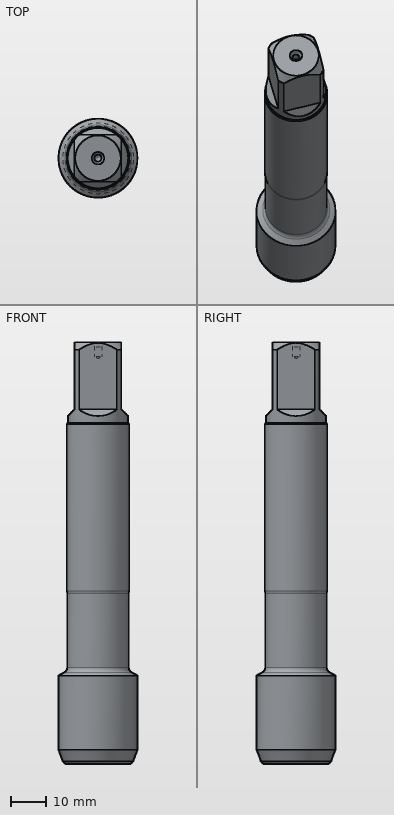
import cadquery as cq
import math

total_length = 119.1

head_diameter = 22.35
head_length = 25.0
lead_diameter = 20.0
lead_length = 4.1
tip_diameter = 18.3
tip_chamfer_length = 0.9

shoulder_slope = 30.0
neck_fillet_radius = 1.5

neck_diameter = 17.4
shank_diameter = 17.7
shank_start = 48.3
shank_step_length = 0.7
shank_end = 96.3
shank_end_chamfer = 0.35
drive_diameter = 17.0

flat_count = 4
square_width = 13.28
square_length = 19.0
drive_top_diameter = 12.8
runout_angle = 45.0

centre_hole_diameter = 2.0
countersink_diameter = 3.5
countersink_angle = 60.0
centre_hole_depth = 4.0
drill_point_angle = 120.0


def revolve_about_z(profile):
    """Turn a closed half-profile in the XZ plane into a solid of revolution."""
    return profile.revolve(360, (0, 0, 0), (0, 1, 0))


def make_head():
    """Cutting head envelope with a tapered lead and a small chamfer at the tip."""
    head_radius = head_diameter / 2
    profile = (
        cq.Workplane("XZ")
        .lineTo(tip_diameter / 2, 0)
        .lineTo(lead_diameter / 2, tip_chamfer_length)
        .lineTo(head_radius, lead_length)
        .lineTo(head_radius, head_length)
        .lineTo(0, head_length)
        .close()
    )
    return revolve_about_z(profile)


def make_shank_blank():
    """Turned shank: shoulder cone, fillet into the neck, shank and round drive end."""
    head_radius = head_diameter / 2
    neck_radius = neck_diameter / 2
    slope = math.radians(shoulder_slope)
    fillet_center_x = neck_radius + neck_fillet_radius
    cone_end_x = fillet_center_x - neck_fillet_radius * math.sin(slope)
    cone_end_z = head_length + (head_radius - cone_end_x) * math.tan(slope)
    fillet_top_z = cone_end_z + neck_fillet_radius * math.cos(slope)
    mid_angle = (math.pi / 2 - slope) / 2
    fillet_mid = (
        fillet_center_x - neck_fillet_radius * math.cos(mid_angle),
        fillet_top_z - neck_fillet_radius * math.sin(mid_angle),
    )
    shank_radius = shank_diameter / 2
    drive_radius = drive_diameter / 2
    drive_top_radius = drive_top_diameter / 2
    drive_chamfer = drive_radius - drive_top_radius
    profile = (
        cq.Workplane("XZ")
        .moveTo(0, head_length)
        .lineTo(head_radius, head_length)
        .lineTo(cone_end_x, cone_end_z)
        .threePointArc(fillet_mid, (neck_radius, fillet_top_z))
        .lineTo(neck_radius, shank_start)
        .lineTo(shank_radius, shank_start + shank_step_length)
        .lineTo(shank_radius, shank_end - shank_end_chamfer)
        .lineTo(drive_radius, shank_end)
        .lineTo(drive_radius, total_length - drive_chamfer)
        .lineTo(drive_top_radius, total_length)
        .lineTo(0, total_length)
        .close()
    )
    return revolve_about_z(profile)


def make_flat_cutter():
    """Material beyond one flat of the square, with a sloping run-out at its foot."""
    flat = square_width / 2
    outside = shank_diameter / 2
    flat_bottom = total_length - square_length
    runout_drop = (outside - flat) * math.tan(math.radians(runout_angle))
    return (
        cq.Workplane("XZ")
        .moveTo(flat, flat_bottom)
        .lineTo(outside, flat_bottom - runout_drop)
        .lineTo(outside, total_length)
        .lineTo(flat, total_length)
        .close()
        .extrude(outside, both=True)
    )


def make_centre_hole():
    """Countersunk centre hole with a conical drill point, as a solid to cut away."""
    hole_radius = centre_hole_diameter / 2
    countersink_radius = countersink_diameter / 2
    countersink_depth = (countersink_radius - hole_radius) / math.tan(math.radians(countersink_angle / 2))
    point_length = hole_radius / math.tan(math.radians(drill_point_angle / 2))
    drill_bottom = total_length - centre_hole_depth
    profile = (
        cq.Workplane("XZ")
        .moveTo(0, drill_bottom - point_length)
        .lineTo(hole_radius, drill_bottom)
        .lineTo(hole_radius, total_length - countersink_depth)
        .lineTo(countersink_radius, total_length)
        .lineTo(0, total_length)
        .close()
    )
    return revolve_about_z(profile)


def make_shank():
    """Shank with its square drive and centre hole."""
    shank = make_shank_blank()
    flat_cutter = make_flat_cutter()
    for index in range(flat_count):
        angle = index * 360 / flat_count
        shank = shank.cut(flat_cutter.rotate((0, 0, 0), (0, 0, 1), angle))
    return shank.cut(make_centre_hole())


head = make_head()
shank = make_shank()

result = cq.Compound.makeCompound([head.val(), shank.val()])